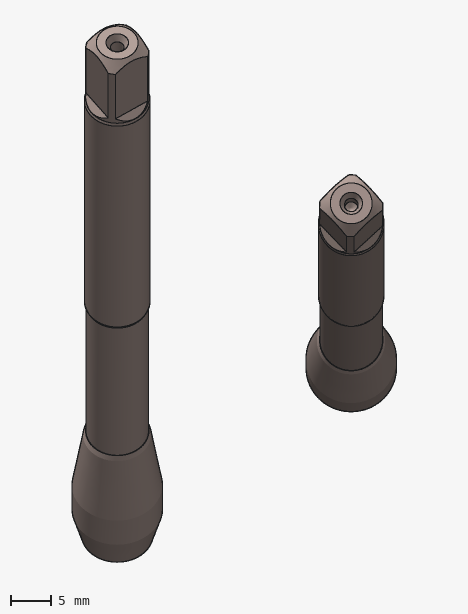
import cadquery as cq
import math

total_length = 100.0

head_diameter = 11.3
head_tip_diameter = 9.0
lead_length = 5.0
land_top = 9.9
back_taper_top = 20.2
back_taper_diameter = 8.5
head_length = 21.0
head_top_diameter = 7.9

neck_diameter = 7.8
shank_diameter = 8.2
shank_bottom = 46.9
shank_step_length = 0.5
shank_top = 88.7
shoulder_length = 0.4
square_width = 6.2
square_corner_diameter = 7.9
square_bottom = 89.6
square_end_diameter = 5.2

center_hole_diameter = 1.7
center_hole_depth = 3.0
center_tip_angle = 118.0
countersink_diameter = 2.8
countersink_angle = 60.0


def revolve_profile(points):
    """Revolve a closed (radius, height) outline about the Z axis."""
    return cq.Workplane("XZ").polyline(points).close().revolve(360, (0, 0), (0, 1))


def make_head():
    return revolve_profile([
        (0, 0),
        (head_tip_diameter / 2, 0),
        (head_diameter / 2, lead_length),
        (head_diameter / 2, land_top),
        (back_taper_diameter / 2, back_taper_top),
        (head_top_diameter / 2, head_length),
        (0, head_length),
    ])


def make_shank_blank():
    """Neck, shank and rounded square stock, with a 45 degree chamfer around the upper end."""
    end_chamfer = (square_corner_diameter - square_end_diameter) / 2
    return revolve_profile([
        (0, head_length),
        (neck_diameter / 2, head_length),
        (neck_diameter / 2, shank_bottom),
        (shank_diameter / 2, shank_bottom + shank_step_length),
        (shank_diameter / 2, shank_top - shoulder_length),
        (square_corner_diameter / 2, shank_top),
        (square_corner_diameter / 2, total_length - end_chamfer),
        (square_end_diameter / 2, total_length),
        (0, total_length),
    ])


def make_flat_cutter():
    """Cutter for one flat of the square, ending in a 45 degree sloped floor."""
    flat_offset = square_width / 2
    cutter_reach = shank_diameter
    slope_run = cutter_reach - flat_offset
    return (
        cq.Workplane("XZ")
        .polyline([
            (flat_offset, total_length),
            (flat_offset, square_bottom),
            (cutter_reach, square_bottom - slope_run),
            (cutter_reach, total_length),
        ])
        .close()
        .extrude(shank_diameter, both=True)
    )


def make_center_hole():
    """Countersunk blind hole with a drilled conical bottom."""
    hole_radius = center_hole_diameter / 2
    countersink_radius = countersink_diameter / 2
    countersink_depth = (countersink_radius - hole_radius) / math.tan(math.radians(countersink_angle / 2))
    tip_length = hole_radius / math.tan(math.radians(center_tip_angle / 2))
    hole_bottom = total_length - center_hole_depth
    return revolve_profile([
        (0, total_length),
        (countersink_radius, total_length),
        (hole_radius, total_length - countersink_depth),
        (hole_radius, hole_bottom),
        (0, hole_bottom - tip_length),
    ])


def make_shank():
    shank = make_shank_blank()
    flat_cutter = make_flat_cutter()
    for angle in (0, 90, 180, 270):
        shank = shank.cut(flat_cutter.rotate((0, 0, 0), (0, 0, 1), angle))
    return shank.cut(make_center_hole())


head = make_head()
shank = make_shank()

result = cq.Compound.makeCompound([head.val(), shank.val()])